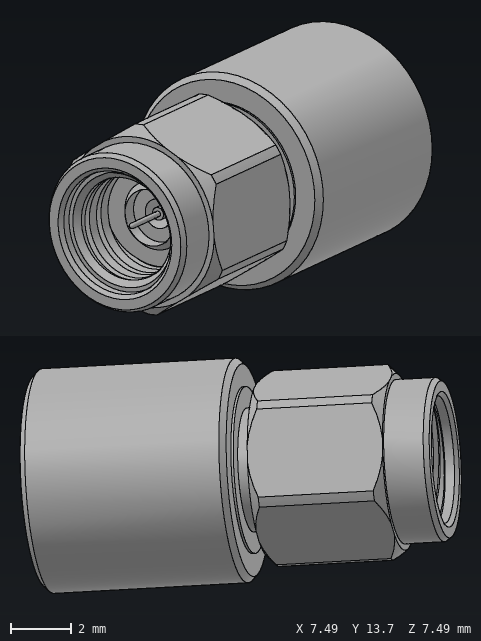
import cadquery as cq
import math


length = 13.7
barrel_radius = 3.747
barrel_start = 6.7
barrel_chamfer = 0.2
flange_radius = 2.78
flange_start = 6.62
neck_radius = 2.07
mating_face = 2.41

ring_base_radius = 1.19
ring_bore_radius = 0.97
ring_height = 0.33
ring_floor = 2.6
line_bore_radius = 0.51
line_bore_end = 5.48

contact_radius = 0.22
contact_shoulder = ring_floor
pin_radius = 0.1
pin_tip = 0.95

nut_end = 6.11
sleeve_radius = 2.74
sleeve_tip_radius = 2.62
sleeve_chamfer_length = 0.18
hex_start = 1.52
hex_apothem = 2.93
hex_corner_radius = 3.29
hex_face_radius = 2.95
hex_chamfer = hex_corner_radius - hex_face_radius
hex_tilt = -4.7

mouth_radius = 2.26
entry_radius = 2.12
entry_start = mouth_radius - entry_radius
entry_end = 0.45
thread_cone_radius = 1.97
crest_radius = 1.77
thread_cone_end = entry_end + thread_cone_radius - crest_radius
thread_pitch = 0.7
thread_turns = 4
thread_root_radius = 2.0
groove_flank_angle = 30.0
groove_overcut = 0.12
groove_start = -0.04


def revolve_about_y(profile):
    """Turn a closed (radius, Y) outline about the Y axis."""
    return cq.Workplane("XY").polyline(profile).close().revolve(360, (0, 0, 0), (0, 1, 0))


def make_housing():
    chamfered_radius = barrel_radius - barrel_chamfer
    return revolve_about_y([
        (0, length),
        (chamfered_radius, length),
        (barrel_radius, length - barrel_chamfer),
        (barrel_radius, barrel_start + barrel_chamfer),
        (chamfered_radius, barrel_start),
        (flange_radius, barrel_start),
        (flange_radius, flange_start),
        (neck_radius, flange_start),
        (neck_radius, mating_face),
        (ring_base_radius, mating_face),
        (ring_bore_radius, mating_face - ring_height),
        (ring_bore_radius, ring_floor),
        (line_bore_radius, ring_floor),
        (line_bore_radius, line_bore_end),
        (0, line_bore_end),
    ])


def make_contact():
    """Thin pin with a hemispherical tip on a thicker shank."""
    tip_mid = pin_radius * math.sqrt(0.5)
    return (
        cq.Workplane("XY")
        .moveTo(0, pin_tip)
        .threePointArc((tip_mid, pin_tip + pin_radius - tip_mid), (pin_radius, pin_tip + pin_radius))
        .lineTo(pin_radius, contact_shoulder)
        .lineTo(contact_radius, contact_shoulder)
        .lineTo(contact_radius, line_bore_end)
        .lineTo(0, line_bore_end)
        .close()
        .revolve(360, (0, 0, 0), (0, 1, 0))
    )


def make_hexagon():
    """Hexagonal bar with its corners turned down and both ends chamfered."""
    hex_length = nut_end - hex_start
    corner_diameter = 2 * hex_apothem / math.cos(math.radians(30))
    bar = (
        cq.Workplane("XZ", origin=(0, hex_start, 0))
        .polygon(6, corner_diameter)
        .extrude(-hex_length)
        .rotate((0, 0, 0), (0, 1, 0), 30 + hex_tilt)
    )
    turned_envelope = revolve_about_y([
        (0, hex_start),
        (hex_face_radius, hex_start),
        (hex_corner_radius, hex_start + hex_chamfer),
        (hex_corner_radius, nut_end - hex_chamfer),
        (hex_face_radius, nut_end),
        (0, nut_end),
    ])
    return bar.intersect(turned_envelope)


def make_sleeve():
    return revolve_about_y([
        (0, 0),
        (sleeve_tip_radius, 0),
        (sleeve_radius, sleeve_chamfer_length),
        (sleeve_radius, hex_start),
        (0, hex_start),
    ])


def make_nut_bore():
    """Mouth, thread crests and the hole for the neck, as one solid to remove."""
    return revolve_about_y([
        (0, 0),
        (mouth_radius, 0),
        (entry_radius, entry_start),
        (entry_radius, entry_end),
        (thread_cone_radius, entry_end),
        (crest_radius, thread_cone_end),
        (crest_radius, mating_face),
        (neck_radius, mating_face),
        (neck_radius, nut_end),
        (0, nut_end),
    ])


def make_groove_turn():
    """One turn of the right-hand V groove, starting on the +X side at groove_start."""
    inner_radius = crest_radius - groove_overcut
    inner_half_width = (thread_root_radius - inner_radius) * math.tan(math.radians(groove_flank_angle))
    helix = cq.Wire.makeHelix(thread_pitch, thread_pitch, crest_radius)
    turn = (
        cq.Workplane("XZ")
        .polyline([
            (inner_radius, -inner_half_width),
            (thread_root_radius, 0),
            (inner_radius, inner_half_width),
        ])
        .close()
        .sweep(cq.Workplane(helix), isFrenet=True)
    )
    return turn.rotate((0, 0, 0), (1, 0, 0), -90).translate((0, groove_start, 0))


def make_nut():
    nut_body = make_hexagon().union(make_sleeve()).cut(make_nut_bore())
    groove_turn = make_groove_turn()
    for turn in range(thread_turns):
        nut_body = nut_body.cut(groove_turn.translate((0, turn * thread_pitch, 0)))
    return nut_body


housing = make_housing()
contact = make_contact()
nut = make_nut()

result = cq.Compound.makeCompound([housing.val(), contact.val(), nut.solids().val()])